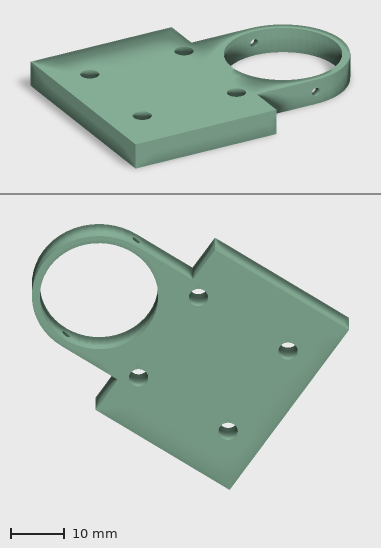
import cadquery as cq

total_length = 55.0
plate_width = 40.0
plate_length = 30.0
thickness = 5.0

ring_radius = 12.5
bore_diameter = 22.0
ring_center_y = total_length - ring_radius

mount_hole_diameter = 3.6
mount_hole_spacing = 20.0
mount_hole_edge_distance = 7.0

cross_hole_diameter = 1.65


def make_body():
    """Rectangular plate with a round-ended neck."""
    half_width = plate_width / 2
    return (
        cq.Workplane("XY")
        .moveTo(-half_width, 0)
        .lineTo(half_width, 0)
        .lineTo(half_width, plate_length)
        .lineTo(ring_radius, plate_length)
        .lineTo(ring_radius, ring_center_y)
        .threePointArc((0, total_length), (-ring_radius, ring_center_y))
        .lineTo(-ring_radius, plate_length)
        .lineTo(-half_width, plate_length)
        .close()
        .extrude(thickness)
    )


def make_bore():
    return cq.Workplane("XY").center(0, ring_center_y).circle(bore_diameter / 2).extrude(thickness)


def make_mount_holes():
    pattern_center_y = mount_hole_edge_distance + mount_hole_spacing / 2
    return (
        cq.Workplane("XY")
        .center(0, pattern_center_y)
        .rarray(mount_hole_spacing, mount_hole_spacing, 2, 2)
        .circle(mount_hole_diameter / 2)
        .extrude(thickness)
    )


def make_cross_hole():
    """Rod along X at mid-thickness, crossing the ring's center."""
    return (
        cq.Workplane("YZ")
        .center(ring_center_y, thickness / 2)
        .circle(cross_hole_diameter / 2)
        .extrude(ring_radius, both=True)
    )


result = make_body().cut(make_bore()).cut(make_mount_holes()).cut(make_cross_hole())